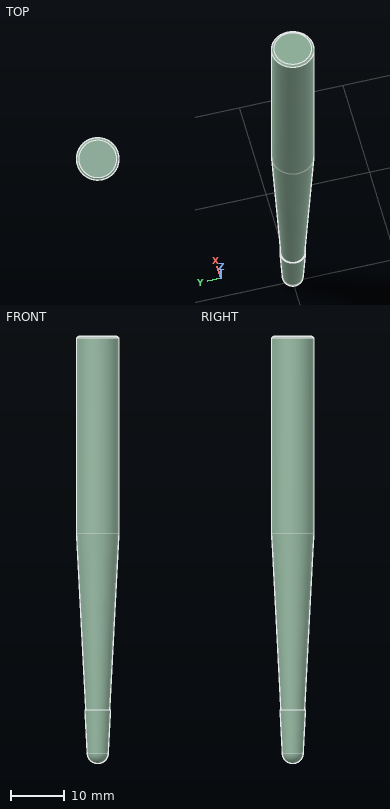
import cadquery as cq
import math

total_length = 80.0
shank_radius = 4.0
chamfer_radial = 0.5
chamfer_height = 0.3

neck_top_z = 43.0

head_length = 10.0
ball_radius = 2.0
taper_angle = math.radians(3.0)

neck_end_radius = shank_radius - (neck_top_z - head_length) * math.tan(taper_angle)


def ball_point(angle):
    """Point (radius, height) on the ball, at an angle above its equator."""
    return (
        ball_radius * math.cos(angle),
        ball_radius + ball_radius * math.sin(angle),
    )


def make_holder():
    """Chamfered round shank with the tapered neck below it."""
    profile = (
        cq.Workplane("XZ")
        .moveTo(0, head_length)
        .lineTo(neck_end_radius, head_length)
        .lineTo(shank_radius, neck_top_z)
        .lineTo(shank_radius, total_length - chamfer_height)
        .lineTo(shank_radius - chamfer_radial, total_length)
        .lineTo(0, total_length)
        .close()
    )
    return profile.revolve(360, (0, 0), (0, 1))


def make_cutting_head():
    """Ball nose and tangent cone, ending flat against the neck."""
    tangent_angle = -taper_angle
    arc_middle_angle = (tangent_angle - math.pi / 2) / 2
    tangent_radius, tangent_z = ball_point(tangent_angle)
    head_top_radius = tangent_radius + (head_length - tangent_z) * math.tan(taper_angle)
    profile = (
        cq.Workplane("XZ")
        .moveTo(0, 0)
        .threePointArc(ball_point(arc_middle_angle), (tangent_radius, tangent_z))
        .lineTo(head_top_radius, head_length)
        .lineTo(0, head_length)
        .close()
    )
    return profile.revolve(360, (0, 0), (0, 1))


holder = make_holder()
cutting_head = make_cutting_head()

result = cq.Compound.makeCompound([holder.val(), cutting_head.val()])